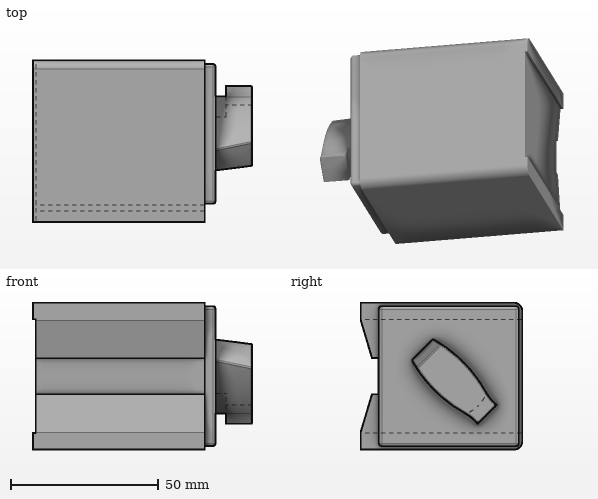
import cadquery as cq
import math

total_length = 74.5
block_length = 58.4
block_height = 50.0
block_depth = 55.0
pole_thickness = 5.7
pole_corner_radius = 3.0
core_inset = 1.0

groove_width = 38.1
groove_depth = 3.9
slot_width = 12.2
slot_depth = 5.95

plate_side = 47.5
plate_thickness = 3.65
plate_edge_radius = 1.0

knob_back = 12.75
knob_end_half_width = 5.1
knob_waist_half_width = 6.85
pointer_reach = 18.4
pointer_curve_radius = 15.01
knob_base_diameter = 28.0
pointer_gap = 3.5
knob_back_slope = 13.3
knob_back_edge_radius = 0.5
knob_rim_radius = 0.5
knob_tilt = 90.0
knob_turn = 45.0

back_y = block_height / 2
front_y = back_y - block_depth
plate_end = block_length + plate_thickness
knob_height = total_length - plate_end


def make_block():
    """Pole plates and core, with rounded +Y corners and a recessed core end."""
    block = (
        cq.Workplane("XY")
        .box(block_length, block_depth, block_height, centered=(False, False, True))
        .translate((0, front_y, 0))
        .edges("|X and >Y")
        .fillet(pole_corner_radius)
    )
    core_height = block_height - 2 * pole_thickness
    recess = (
        cq.Workplane("XY")
        .box(core_inset, block_depth, core_height, centered=(False, False, True))
        .translate((0, front_y, 0))
    )
    return block.cut(recess)


def make_groove():
    """V-groove and relief slot running the full block length."""
    lower_half = [
        (front_y, -groove_width / 2),
        (front_y + groove_depth, -slot_width / 2),
        (front_y + slot_depth, -slot_width / 2),
    ]
    upper_half = [(y, -z) for y, z in reversed(lower_half)]
    return cq.Workplane("YZ").polyline(lower_half + upper_half).close().extrude(block_length)


def make_plate():
    """Square end plate with rounded corners and outer rim."""
    return (
        cq.Workplane("YZ", origin=(block_length, 0, 0))
        .rect(plate_side, plate_side)
        .extrude(plate_thickness)
        .edges("|X")
        .fillet(plate_edge_radius)
        .faces(">X")
        .edges()
        .fillet(plate_edge_radius)
    )


def make_knob():
    """Barrel-shaped knob with a sloped back and a pointer that overhangs the plate."""
    bulge = knob_waist_half_width - knob_end_half_width
    barrel_radius = (knob_back**2 + bulge**2) / (2 * bulge)
    barrel_centre_y = knob_waist_half_width - barrel_radius

    radius_ratio = pointer_curve_radius / barrel_radius
    flank_centre_x = knob_back * (1 + radius_ratio)
    flank_centre_y = knob_end_half_width + radius_ratio * (knob_end_half_width - barrel_centre_y)

    def flank_point(x):
        return x, flank_centre_y - math.sqrt(pointer_curve_radius**2 - (x - flank_centre_x) ** 2)

    half_outline = (
        cq.Workplane("XY")
        .moveTo(-knob_back, 0)
        .lineTo(-knob_back, knob_end_half_width)
        .threePointArc((0, knob_waist_half_width), (knob_back, knob_end_half_width))
        .threePointArc(flank_point((knob_back + pointer_reach) / 2), flank_point(pointer_reach))
        .lineTo(pointer_reach, 0)
    )
    knob = half_outline.mirrorX().extrude(knob_height)

    back_shift = knob_height * math.tan(math.radians(knob_back_slope))
    back_wedge = (
        cq.Workplane("XZ")
        .polyline([(-knob_back, 0), (-knob_back, knob_height), (back_shift - knob_back, knob_height)])
        .close()
        .extrude(knob_waist_half_width, both=True)
    )
    knob = knob.cut(back_wedge)
    knob = knob.faces("<X").edges("not |Y").fillet(knob_back_edge_radius)
    knob = knob.faces(">Z").edges().fillet(knob_rim_radius)

    clearance_radius = 2 * pointer_reach
    pointer_clearance = (
        cq.Workplane("XY")
        .circle(clearance_radius)
        .circle(knob_base_diameter / 2)
        .extrude(pointer_gap)
    )
    return (
        knob.cut(pointer_clearance)
        .rotate((0, 0, 0), (0, 1, 0), knob_tilt)
        .rotate((0, 0, 0), (1, 0, 0), knob_turn)
        .translate((plate_end, 0, 0))
    )


result = make_block().cut(make_groove()).union(make_plate()).union(make_knob())